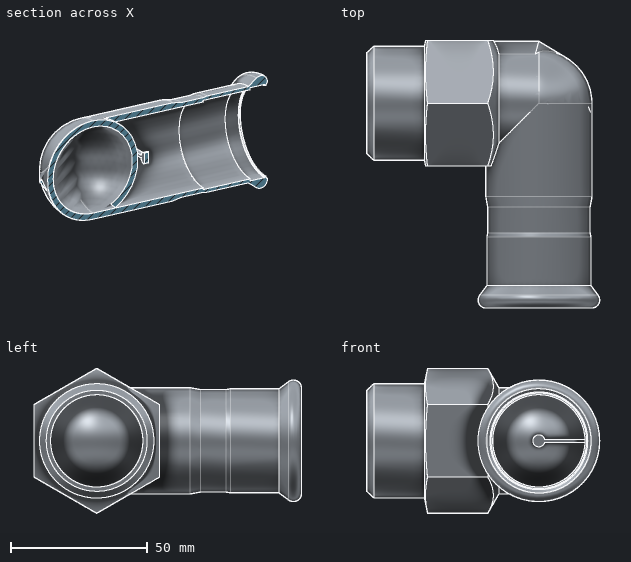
import cadquery as cq
import math


elbow_radius = 19.5
bore_radius = 16.9
ridge_height = 22.75
ridge_half_width = 7.5
ridge_start = -32.0

adapter_length = 63.0
nipple_radius = 20.95
nipple_tip_radius = 18.5
nipple_tip_length = 2.6
hex_across_flats = 46.0
hex_start = -41.9
hex_start_rise = 1.15
hex_corner_end = -18.7
hex_chamfer_angle = 30

socket_length = 75.0
neck_taper_start = -34.2
neck_start = -38.0
neck_end = -47.4
barrel_start = -48.9
barrel_end = -66.7
neck_radius = 18.8
barrel_radius = 19.1
bead_outer_radius = 22.3
bead_section_radius = 3.0

tube_radius = 17.5
lip_radius = 17.9
lip_end = -73.6
mouth_edge_radius = 19.1
mouth_chamfer = 0.8
recess_radius = 18.3
recess_end = -67.5

pin_radius = 2.2
web_thickness = 1.1
pin_length = 2.0
pin_start = -24.0

hex_corner_radius = hex_across_flats / math.sqrt(3)
hex_end = hex_corner_end + (hex_corner_radius - elbow_radius) * math.tan(math.radians(hex_chamfer_angle))


def make_elbow_body():
    """Arm along X, with a ball closing the outside of the bend."""
    arm = cq.Workplane("YZ").circle(elbow_radius).extrude(hex_start)
    ball = cq.Workplane("XY").sphere(elbow_radius)
    return arm.union(ball)


def make_ridge():
    """Roof-shaped ridge along the +Y side of the arm, sloping down to touch the ball."""
    foot_y = math.sqrt(elbow_radius**2 - ridge_half_width**2)
    roof_slope = math.degrees(math.atan2(ridge_height - foot_y, ridge_half_width))
    touch = math.asin(elbow_radius / ridge_height)
    touch_point = (elbow_radius * math.cos(touch), elbow_radius * math.sin(touch))
    half = (
        cq.Workplane("XY")
        .moveTo(ridge_start, 0)
        .lineTo(ridge_start, ridge_height)
        .lineTo(0, ridge_height)
        .lineTo(*touch_point)
        .lineTo(elbow_radius, 0)
        .close()
        .extrude(ridge_half_width, taper=roof_slope)
    )
    return half.union(half.mirror("XY"))


def make_nipple():
    """Plain male end with a coned tip."""
    return (
        cq.Workplane("XY")
        .moveTo(-adapter_length, 0)
        .lineTo(-adapter_length, nipple_tip_radius)
        .lineTo(-adapter_length + nipple_tip_length, nipple_radius)
        .lineTo(hex_corner_end, nipple_radius)
        .lineTo(hex_corner_end, 0)
        .close()
        .revolve(360, (0, 0), (1, 0))
    )


def make_hexagon():
    """Hexagon with flats on +Y and -Y, both ends turned to cones."""
    prism = (
        cq.Workplane("YZ", origin=(hex_start, 0, 0))
        .transformed(rotate=(0, 0, 90))
        .polygon(6, 2 * hex_corner_radius)
        .extrude(hex_end - hex_start)
    )
    turned_envelope = (
        cq.Workplane("XY")
        .moveTo(hex_start, 0)
        .lineTo(hex_start, nipple_radius)
        .lineTo(hex_start + hex_start_rise, hex_corner_radius)
        .lineTo(hex_corner_end, hex_corner_radius)
        .lineTo(hex_end, elbow_radius)
        .lineTo(hex_end, 0)
        .close()
        .revolve(360, (0, 0), (1, 0))
    )
    return prism.intersect(turned_envelope)


def make_socket():
    """Turned press socket: arm, necked part, barrel and rounded bead."""
    bead_center_r = bead_outer_radius - bead_section_radius
    bead_center_y = -socket_length + bead_section_radius

    run = math.hypot(barrel_radius - bead_center_r, barrel_end - bead_center_y)
    lean = math.atan2(barrel_end - bead_center_y, barrel_radius - bead_center_r)
    touch = lean - math.acos(bead_section_radius / run)
    touch_point = (
        bead_center_r + bead_section_radius * math.cos(touch),
        bead_center_y + bead_section_radius * math.sin(touch),
    )
    return (
        cq.Workplane("XY")
        .moveTo(0, 0)
        .lineTo(elbow_radius, 0)
        .lineTo(elbow_radius, neck_taper_start)
        .lineTo(neck_radius, neck_start)
        .lineTo(neck_radius, neck_end)
        .lineTo(barrel_radius, barrel_start)
        .lineTo(barrel_radius, barrel_end)
        .lineTo(*touch_point)
        .threePointArc((bead_outer_radius, bead_center_y), (bead_center_r, -socket_length))
        .lineTo(0, -socket_length)
        .close()
        .revolve(360, (0, 0), (0, 1))
    )


def make_bore():
    """Bent passage with a wider tube seat and a shallow recess behind the mouth lip."""
    adapter_bore = cq.Workplane("YZ").circle(bore_radius).extrude(-adapter_length)
    ball = cq.Workplane("XY").sphere(bore_radius)
    socket_bore = (
        cq.Workplane("XY")
        .moveTo(0, 0)
        .lineTo(bore_radius, 0)
        .lineTo(bore_radius, neck_end)
        .lineTo(tube_radius, neck_end)
        .lineTo(tube_radius, recess_end)
        .lineTo(recess_radius, recess_end)
        .lineTo(recess_radius, lip_end)
        .lineTo(lip_radius, lip_end)
        .lineTo(lip_radius, -socket_length + mouth_chamfer)
        .lineTo(mouth_edge_radius, -socket_length)
        .lineTo(0, -socket_length)
        .close()
        .revolve(360, (0, 0), (0, 1))
    )
    return adapter_bore.union(ball).union(socket_bore)


def make_pin():
    """Short pin on the socket axis, joined to the +X wall by a thin web."""
    web_length = (bore_radius + elbow_radius) / 2
    pin = cq.Workplane("XZ", origin=(0, pin_start, 0)).circle(pin_radius).extrude(-pin_length)
    web = cq.Workplane("XY").box(web_length, pin_length, web_thickness, centered=(False, False, True))
    return pin.union(web.translate((0, pin_start, 0)))


outside = make_elbow_body().union(make_ridge()).union(make_socket())
outside = outside.union(make_nipple()).union(make_hexagon())
result = outside.cut(make_bore()).union(make_pin())